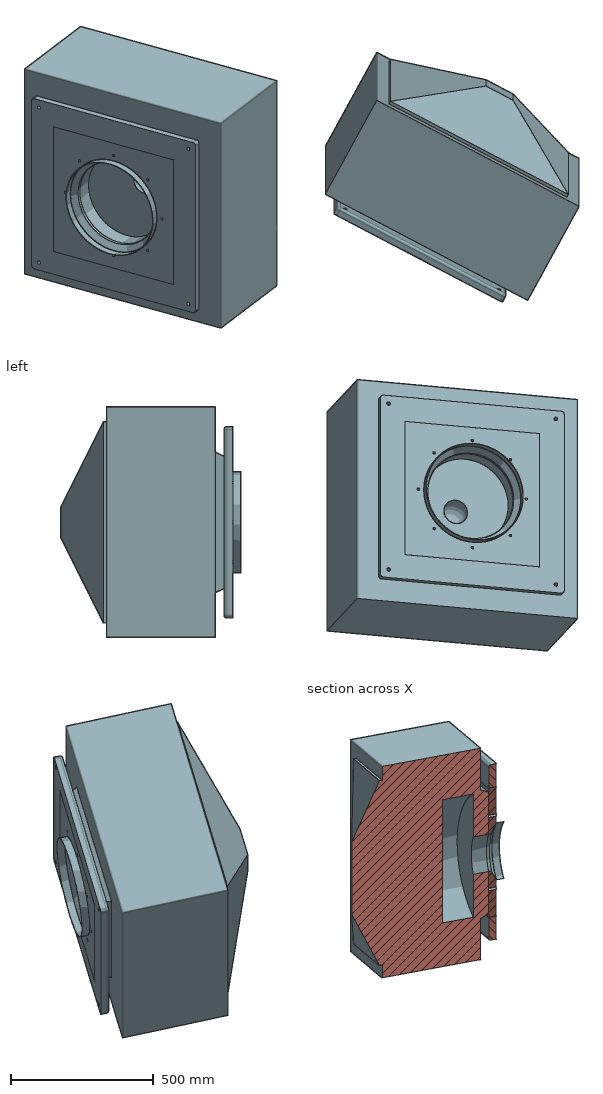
import cadquery as cq

COLLAR_LENGTH = 28.0
FRAME_THICKNESS = 31.0
NECK_LENGTH = 30.0
BOX_DEPTH = 382.0
HOOD_LIP_DEPTH = 10.5
HOOD_TAPER_DEPTH = 149.0

FRAME_FRONT = COLLAR_LENGTH
FRAME_BACK = FRAME_FRONT + FRAME_THICKNESS
BOX_FRONT = FRAME_BACK + NECK_LENGTH
BOX_BACK = BOX_FRONT + BOX_DEPTH
HOOD_TAPER_START = BOX_BACK + HOOD_LIP_DEPTH

BOX_WIDTH = 804.0
BOX_HEIGHT = 807.0
BOX_EDGE_RADIUS = 2.5
BOX_RISE = 2.0
NECK_WIDTH_AT_BOX = 492.0
NECK_WIDTH_AT_FRAME = 463.0
HOOD_WIDTH = 705.0
HOOD_RUN_PER_DEPTH = 2
HOOD_TIP_WIDTH = HOOD_WIDTH - 2 * HOOD_RUN_PER_DEPTH * HOOD_TAPER_DEPTH

NOZZLE_RADIUS = 156.5
NOZZLE_END = 118.0
CHAMBER_RADIUS = 273.0
CHAMBER_END = 236.0
HUB_RECESS_RADIUS = 43.0

FRAME_WIDTH = 670.0
FRAME_CORNER_RADIUS = 10.5
FRAME_BACK_EDGE_RADIUS = 10.0
FRAME_HOLE_SPACING = 610.0
FRAME_HOLE_DIAMETER = 12.0

DUCT_PLATE_WIDTH = 491.0
COLLAR_RADIUS = 177.5
COLLAR_WALL = 2.0
BORE_TAPER_LENGTH = 19.0
SCREW_COUNT = 8
SCREW_CIRCLE_RADIUS = 197.0
SCREW_HOLE_DIAMETER = 8.0


def plane_at(depth):
    """XZ workplane at the given Y, seen from behind: its normal is +Y and its local up is +Z."""
    return cq.Workplane(cq.Plane(origin=(0, depth, 0), xDir=(-1, 0, 0), normal=(0, 1, 0)))


def square_block(width, start, length):
    return plane_at(start).rect(width, width).extrude(length)


def square_taper(start, start_width, length, end_width):
    return (
        plane_at(start)
        .rect(start_width, start_width)
        .workplane(offset=length)
        .rect(end_width, end_width)
        .loft(ruled=True)
    )


def revolved(points):
    """Turn a closed (radius, depth) outline about the Y axis."""
    return cq.Workplane("XY").polyline(points).close().revolve(360, (0, 0, 0), (0, 1, 0))


def make_fan_chamber():
    """Straight inlet nozzle into a wide round chamber, whose flat floor has a round hub recess."""
    chamber = revolved([
        (0, FRAME_BACK),
        (NOZZLE_RADIUS, FRAME_BACK),
        (NOZZLE_RADIUS, NOZZLE_END),
        (CHAMBER_RADIUS, NOZZLE_END),
        (CHAMBER_RADIUS, CHAMBER_END),
        (0, CHAMBER_END),
    ])
    hub_recess = cq.Workplane("XY").sphere(HUB_RECESS_RADIUS).translate((0, CHAMBER_END, 0))
    return chamber.union(hub_recess)


def make_housing():
    box = plane_at(BOX_FRONT).center(0, BOX_RISE).rect(BOX_WIDTH, BOX_HEIGHT).extrude(BOX_DEPTH)
    box = box.edges("|Z or >Z").fillet(BOX_EDGE_RADIUS)
    neck = square_taper(FRAME_BACK, NECK_WIDTH_AT_FRAME, NECK_LENGTH, NECK_WIDTH_AT_BOX)
    hood_lip = square_block(HOOD_WIDTH, BOX_BACK, HOOD_LIP_DEPTH)
    hood = square_taper(HOOD_TAPER_START, HOOD_WIDTH, HOOD_TAPER_DEPTH, HOOD_TIP_WIDTH)
    return box.union(neck).union(hood_lip).union(hood).cut(make_fan_chamber())


def make_frame():
    frame = square_block(FRAME_WIDTH, FRAME_FRONT, FRAME_THICKNESS)
    frame = frame.edges("|Y").fillet(FRAME_CORNER_RADIUS)
    frame = frame.faces(">Y").edges().fillet(FRAME_BACK_EDGE_RADIUS)
    corner_holes = (
        plane_at(FRAME_FRONT)
        .rect(FRAME_HOLE_SPACING, FRAME_HOLE_SPACING, forConstruction=True)
        .vertices()
        .circle(FRAME_HOLE_DIAMETER / 2)
        .extrude(FRAME_THICKNESS)
    )
    opening = square_block(DUCT_PLATE_WIDTH, FRAME_FRONT, FRAME_THICKNESS)
    return frame.cut(corner_holes).cut(opening)


def make_duct_plate():
    plate = square_block(DUCT_PLATE_WIDTH, FRAME_FRONT, FRAME_THICKNESS)
    collar = plane_at(0).circle(COLLAR_RADIUS).extrude(COLLAR_LENGTH)
    bore_radius = COLLAR_RADIUS - COLLAR_WALL
    bore = revolved([
        (0, 0),
        (bore_radius, 0),
        (bore_radius, FRAME_FRONT),
        (NOZZLE_RADIUS, FRAME_FRONT + BORE_TAPER_LENGTH),
        (NOZZLE_RADIUS, FRAME_BACK),
        (0, FRAME_BACK),
    ])
    screw_holes = (
        plane_at(FRAME_FRONT)
        .polarArray(SCREW_CIRCLE_RADIUS, 0, 360, SCREW_COUNT)
        .circle(SCREW_HOLE_DIAMETER / 2)
        .extrude(FRAME_THICKNESS)
    )
    return plate.union(collar).cut(bore).cut(screw_holes)


housing = make_housing()
frame = make_frame()
duct_plate = make_duct_plate()

result = cq.Compound.makeCompound([housing.val(), frame.val(), duct_plate.val()])